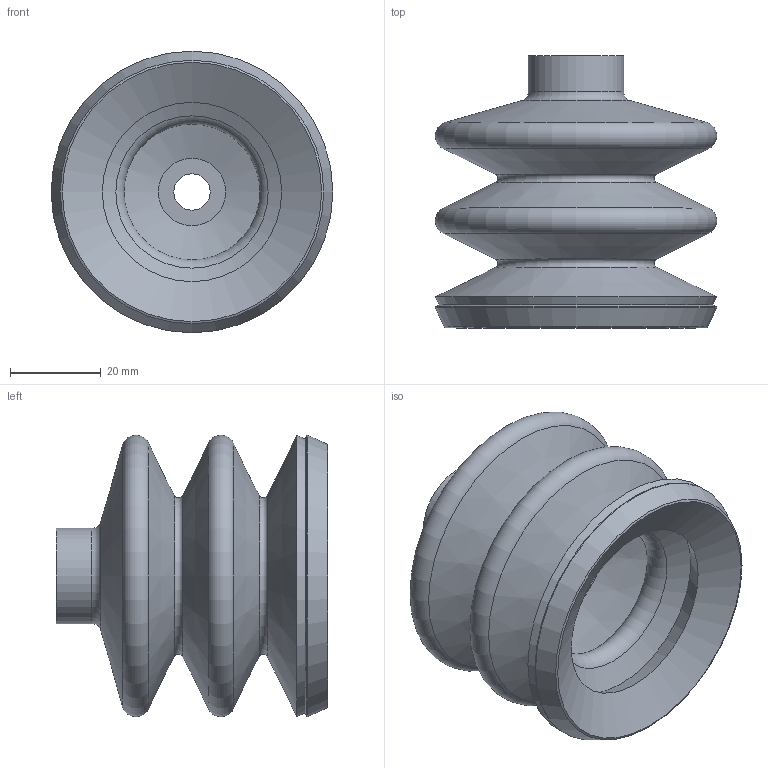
import cadquery as cq
import math

total_length = 59.88
outer_radius = 31.0
wall = 2.25

fold_count = 2
first_valley_y = 14.25
half_pitch = 9.34
crest_round = 3.1
valley_round = 1.0
valley_radius = 17.2
crest_center_radius = outer_radius - crest_round
valley_center_radius = valley_radius + valley_round

shoulder_angle = math.radians(15.9)
neck_radius = 10.5
neck_fillet = 2.0
bore_radius = 4.0
ceiling_radius = 7.4

lip_angle = math.radians(25)
lip_rim_y = 4.45
lip_rim_land = 0.2
lip_edge_y = 0.2
mouth_radius = 28.55
groove_depth = 0.9
groove_side_rise = 0.4
throat_radius = 19.75
throat_y = 4.6

center_step = crest_center_radius - valley_center_radius
center_distance = math.hypot(center_step, half_pitch)
fold_angle = math.atan2(half_pitch, center_step) - math.asin((crest_round + valley_round) / center_distance)
fold_normal = math.pi / 2 - fold_angle
shoulder_normal = math.pi / 2 - shoulder_angle


def on_circle(center, radius, angle):
    return (center[0] + radius * math.cos(angle), center[1] + radius * math.sin(angle))


def fold_rounds(inset):
    """Arcs (start, middle, end) of one skin, mouth to neck, moved inward by the inset."""
    arcs = []
    for fold in range(fold_count):
        valley_y = first_valley_y + 2 * fold * half_pitch
        valley = (valley_center_radius, valley_y)
        crest = (crest_center_radius, valley_y + half_pitch)
        is_last = fold == fold_count - 1
        crest_end = shoulder_normal if is_last else fold_normal
        valley_angles = (math.pi + fold_normal, math.pi, math.pi - fold_normal)
        crest_angles = (-fold_normal, 0, crest_end)
        arcs.append([on_circle(valley, valley_round + inset, angle) for angle in valley_angles])
        arcs.append([on_circle(crest, crest_round - inset, angle) for angle in crest_angles])
    return arcs


def fold_wall_y(arcs, radius):
    """Height at the given radius on the fold wall between the lip and the first valley."""
    start_radius, start_y = arcs[0][0]
    return start_y - (radius - start_radius) * math.tan(fold_angle)


def shoulder_y(arcs, radius):
    """Height at the given radius on the shoulder cone above the last crest."""
    end_radius, end_y = arcs[-1][2]
    return end_y + (end_radius - radius) * math.tan(shoulder_angle)


def add_arcs(path, arcs):
    for start, middle, end in arcs:
        path = path.lineTo(*start).threePointArc(middle, end)
    return path


def add_lip(path, outer_arcs):
    """Outer lip wall with the shallow groove below the bellows."""
    land_top_y = lip_rim_y + lip_rim_land
    upper_rim_y = fold_wall_y(outer_arcs, outer_radius)
    edge_radius = outer_radius - (lip_rim_y - lip_edge_y) * math.tan(lip_angle)
    return (
        path.lineTo(edge_radius, lip_edge_y)
        .lineTo(outer_radius, lip_rim_y)
        .lineTo(outer_radius, land_top_y)
        .lineTo(outer_radius - groove_depth, land_top_y + groove_side_rise)
        .lineTo(outer_radius, upper_rim_y)
    )


def add_neck(path, outer_arcs):
    """Shoulder cone, blended into the cylindrical neck, and the neck end."""
    fillet_center_radius = neck_radius + neck_fillet
    fillet_center_y = shoulder_y(outer_arcs, fillet_center_radius) + neck_fillet / math.cos(shoulder_angle)
    fillet_center = (fillet_center_radius, fillet_center_y)
    fillet_start = math.pi + shoulder_normal
    fillet_middle = math.pi + shoulder_normal / 2
    return (
        path.lineTo(*on_circle(fillet_center, neck_fillet, fillet_start))
        .threePointArc(
            on_circle(fillet_center, neck_fillet, fillet_middle),
            on_circle(fillet_center, neck_fillet, math.pi),
        )
        .lineTo(neck_radius, total_length)
        .lineTo(bore_radius, total_length)
    )


def add_cavity(path, inner_arcs):
    """Bore, flat ceiling ring, inner folds and the undercut behind the sealing cone."""
    ceiling_y = shoulder_y(inner_arcs, ceiling_radius)
    path = path.lineTo(bore_radius, ceiling_y).lineTo(ceiling_radius, ceiling_y)
    path = add_arcs(path, [arc[::-1] for arc in reversed(inner_arcs)])
    rise = fold_wall_y(inner_arcs, throat_radius) - throat_y
    undercut = rise / (1 / math.tan(lip_angle) + math.tan(fold_angle))
    undercut_radius = throat_radius + undercut
    return (
        path.lineTo(undercut_radius, fold_wall_y(inner_arcs, undercut_radius))
        .lineTo(throat_radius, throat_y)
    )


outer_arcs = fold_rounds(0)
inner_arcs = fold_rounds(wall)

profile = cq.Workplane("XY").moveTo(mouth_radius, 0)
profile = add_lip(profile, outer_arcs)
profile = add_arcs(profile, outer_arcs)
profile = add_neck(profile, outer_arcs)
profile = add_cavity(profile, inner_arcs).close()

result = profile.revolve(360, (0, 0, 0), (0, 1, 0))